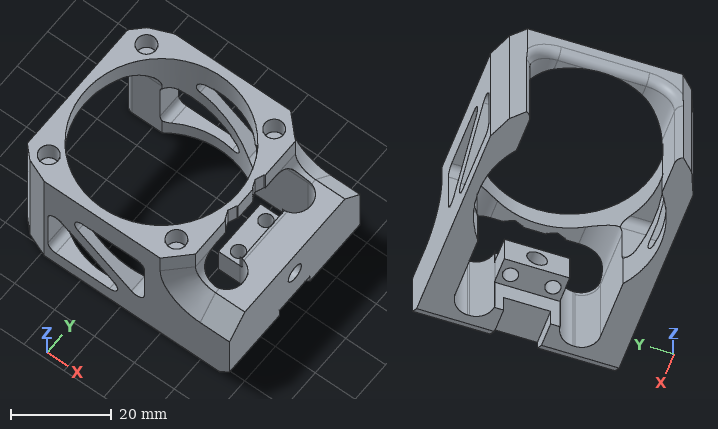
import cadquery as cq

length = 54.5
width = 42.8
height = 29.5
half_width = width / 2

frame_length = 42.15
plate_thickness = 5.0
fan_x = frame_length / 2
bore_diameter = 38.35
mount_spacing = 32.0
mount_diameter = 4.5
mount_depth = plate_thickness

step_drop = 10.05
step_radius = 5.0
step_chamfer = 5.0
step_z = height - step_drop
bottom_chamfer = 2.5

bevel_start_y = 16.4
bevel_middle = (2.85, 19.25)
bevel_end_x = 8.05

cavity_half_width = 15.3
cavity_height = height - plate_thickness
arch_radius = 6.0
cavity_end_x = 50.05
cavity_corner = 4.0
mouth_fillet = 2.0

pier_half_width = 6.9
pier_front_x = 46.55
block_front_x = 40.6
block_bottom = 9.0
block_top = 16.0
cable_hole_diameter = 4.3
screw_hole_diameter = 3.2
screw_x = 43.8
screw_spacing = 8.95
head_sides = 8
head_diameter = 5.4
notch_width = 9.9
notch_height = 4.45

window_length = 17.45
window_height = 14.0
window_front_x = 9.0
window_bottom = 4.1
window_radius = 2.0
window_pair_z = 13.3

overshoot = 0.55


def box(x_range, y_range, z_range):
    """Box given by its limits along each axis."""
    size = [high - low for low, high in (x_range, y_range, z_range)]
    origin = (x_range[0], y_range[0], z_range[0])
    return cq.Workplane("XY").box(*size, centered=False).translate(origin)


def stepped_body():
    """Side profile with a rounded step, chamfered along both sides of the step."""
    profile = (
        cq.Workplane("XZ")
        .lineTo(length - bottom_chamfer, 0)
        .lineTo(length, bottom_chamfer)
        .lineTo(length, step_z)
        .lineTo(frame_length + step_radius, step_z)
        .radiusArc((frame_length, step_z + step_radius), step_radius)
        .lineTo(frame_length, height)
        .lineTo(0, height)
        .close()
    )
    body = profile.extrude(half_width, both=True)
    step_edges = cq.selectors.BoxSelector(
        (frame_length - overshoot, -width, step_z - overshoot),
        (length + overshoot, width, height + overshoot),
    )
    side_edges = body.faces("<Y or >Y").edges(step_edges)
    return side_edges.chamfer(step_chamfer)


def cavity():
    """Arched tunnel along X ending in a round-cornered lobe on each side of the middle pier."""
    tunnel = box((0, cavity_end_x), (-cavity_half_width, cavity_half_width), (0, cavity_height))
    tunnel = tunnel.edges("|X and >Z").fillet(arch_radius)
    tunnel = tunnel.faces(">X").edges("not(<Z)").fillet(cavity_corner)
    lobe_start_x = cavity_end_x - cavity_corner
    plan = box((0, lobe_start_x), (-cavity_half_width, cavity_half_width), (0, height))
    plan = plan.union(box((0, pier_front_x), (-pier_half_width, pier_half_width), (0, height)))
    lobe = box((0, cavity_end_x), (pier_half_width, cavity_half_width), (0, height))
    lobe = lobe.edges("|Z and >X and <Y").fillet(cavity_corner)
    plan = plan.union(lobe).union(lobe.mirror("XZ"))
    return tunnel.intersect(plan)


def front_bevel(side):
    """Material removed from one front corner; side is +1 or -1 along Y."""
    outline = [
        (0, side * bevel_start_y),
        (bevel_middle[0], side * bevel_middle[1]),
        (bevel_end_x, side * half_width),
        (0, side * half_width),
    ]
    return cq.Workplane("XY").polyline(outline).close().extrude(height)


def side_windows():
    """Both triangular windows with rounded corners, cut through both side walls."""
    run = window_length - 2 * window_radius
    rise = window_height - 2 * window_radius
    x = window_front_x + window_radius
    z = window_bottom + window_radius
    corner_centers = [(x, z), (x + run, z), (x, z + rise)]
    outline = cq.Workplane("XZ").polyline(corner_centers).close().offset2D(window_radius)
    lower = outline.extrude(width, both=True)
    upper = lower.rotate((fan_x, 0, window_pair_z), (fan_x, 1, window_pair_z), 180)
    return lower.union(upper)


def clamp_block():
    """Block standing forward from the pier, overlapping it slightly."""
    return box(
        (block_front_x, pier_front_x + overshoot),
        (-pier_half_width, pier_half_width),
        (block_bottom, block_top),
    )


result = stepped_body().cut(cavity())
mouth_edges = cq.selectors.BoxSelector(
    (-overshoot, -half_width + overshoot, -overshoot),
    (overshoot, half_width - overshoot, height - overshoot),
)
mouth = result.faces("<X").edges(mouth_edges).edges("not(<Z)")
result = mouth.fillet(mouth_fillet)
for side in (-1, 1):
    result = result.cut(front_bevel(side))

bore = cq.Workplane("XY").center(fan_x, 0).circle(bore_diameter / 2).extrude(height)
mounts = (
    cq.Workplane("XY", origin=(fan_x, 0, height))
    .rect(mount_spacing, mount_spacing, forConstruction=True)
    .vertices()
    .circle(mount_diameter / 2)
    .extrude(-mount_depth)
)
result = result.cut(bore).cut(mounts).cut(side_windows())

result = result.union(clamp_block())
screw_points = [(screw_x, -screw_spacing / 2), (screw_x, screw_spacing / 2)]
screws = cq.Workplane("XY").pushPoints(screw_points).circle(screw_hole_diameter / 2).extrude(height)
heads = (
    cq.Workplane("XY", origin=(0, 0, block_top))
    .pushPoints(screw_points)
    .polygon(head_sides, head_diameter)
    .extrude(height - block_top)
)
cable_hole = (
    cq.Workplane("YZ", origin=(block_front_x, 0, (block_bottom + block_top) / 2))
    .circle(cable_hole_diameter / 2)
    .extrude(length - block_front_x)
)
notch = box((pier_front_x, length), (-notch_width / 2, notch_width / 2), (0, notch_height))
result = result.cut(screws).cut(heads).cut(cable_hole).cut(notch)